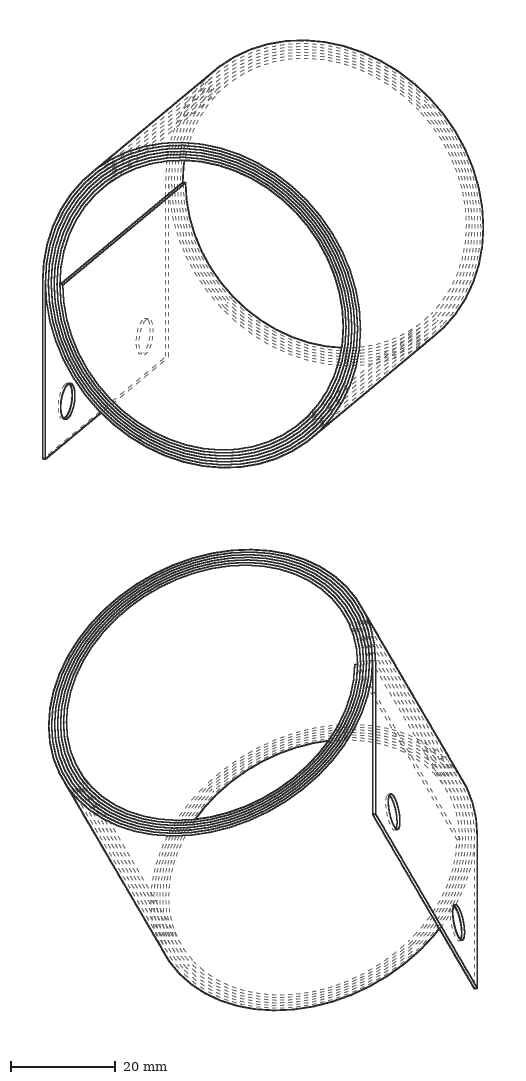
import cadquery as cq

coil_diameter = 65.8
strip_width = 60.0
overall_height = 68.9
strip_thickness = 0.59
turn_gap = 0.01
turn_count = 6

hole_diameter = 6.9
hole_spacing = 38.0
hole_edge_distance = 8.0

outer_radius = coil_diameter / 2
turn_pitch = strip_thickness + turn_gap
tail_bottom = outer_radius - overall_height


def add_half_turn(path, start_x, end_x, side):
    """Add a half circle between two points on the X axis; side is +1 above, -1 below."""
    radius = abs(end_x - start_x) / 2
    middle_x = (start_x + end_x) / 2
    return path.threePointArc((middle_x, side * radius), (end_x, 0))


def add_inward_spiral(path, radius):
    """Wind inward: the upper halves are concentric, the lower halves close in by one pitch."""
    for turn in range(turn_count):
        upper_radius = radius - turn * turn_pitch
        path = add_half_turn(path, -upper_radius, upper_radius, 1)
        path = add_half_turn(path, upper_radius, turn_pitch - upper_radius, -1)
    return path


def add_outward_spiral(path, radius):
    """Follow the same spiral back out."""
    for turn in reversed(range(turn_count)):
        upper_radius = radius - turn * turn_pitch
        path = add_half_turn(path, turn_pitch - upper_radius, upper_radius, -1)
        path = add_half_turn(path, upper_radius, -upper_radius, 1)
    return path


def make_strip():
    """Outline both faces of the strip in XZ and extrude it symmetrically along Y."""
    inner_radius = outer_radius - strip_thickness
    inner_end_x = turn_count * turn_pitch - inner_radius

    path = cq.Workplane("XZ").moveTo(-outer_radius, tail_bottom).lineTo(-outer_radius, 0)
    path = add_inward_spiral(path, outer_radius)
    path = path.lineTo(inner_end_x, 0)
    path = add_outward_spiral(path, inner_radius)
    path = path.lineTo(-inner_radius, tail_bottom).close()
    return path.extrude(strip_width / 2, both=True)


def make_hole_cutters():
    """Two pins along X that pass through the tail only."""
    cutter_length = 2 * strip_thickness
    hole_z = tail_bottom + hole_edge_distance
    return (
        cq.Workplane("YZ", origin=(-outer_radius, 0, 0))
        .pushPoints([(side * hole_spacing / 2, hole_z) for side in (-1, 1)])
        .circle(hole_diameter / 2)
        .extrude(cutter_length, both=True)
    )


result = make_strip().cut(make_hole_cutters())